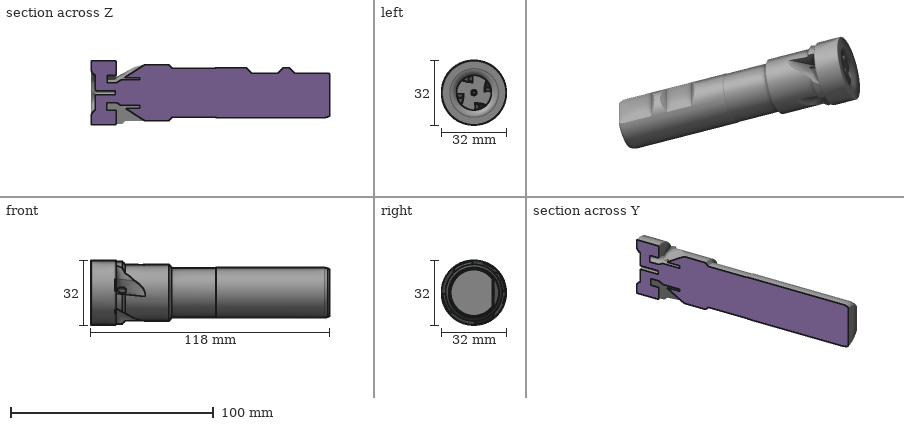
import cadquery as cq
import math

overall_length = 118.0
head_length = 12.6
collar_end = 15.4
body_start = 16.9
body_end = 38.5
neck_start = 40.0
shank_start = 61.6

head_radius = 16.0
collar_radius = 15.5
body_radius = 14.0
neck_radius = 12.3
shank_radius = 12.5
head_front_fillet = 0.4
head_back_fillet = 0.8
shank_lead_chamfer = 0.3

end_taper_start = 115.3
end_taper_end = 117.0
end_taper_radius = 12.1
end_face_radius = 11.4

lip_radius = 12.0
core_radius = 8.6
core_face = 2.0
pilot_radius = 0.9
pilot_countersink_radius = 1.4
pilot_depth = 10.0

flute_count = 4
flute_floor = 5.0
flute_climb = 0.63
flute_runout = 16.0
rake_height = 0.6
rake_slope = 0.1
gullet_radius = 14.0
gullet_height = 7.4
clearance_slope = 0.1
cutter_reach = 20.0

coolant_radius = 1.4
coolant_offset = 6.9
coolant_height = 1.3
coolant_start = 13.0
coolant_end = 24.0

flat_distance = 9.75
first_flat = (79.5, 92.2)
second_flat_start = 100.7
flat_end_chamfer = 0.7
flat_ramp = 1.0


def turned_body():
    """Core, collar, body, neck and shank as one revolved profile."""
    profile = [
        (core_face, 0),
        (core_face, core_radius),
        (head_length, core_radius),
        (head_length, collar_radius),
        (collar_end, collar_radius),
        (body_start, body_radius),
        (body_end, body_radius),
        (neck_start, neck_radius),
        (shank_start, neck_radius),
        (shank_start + shank_lead_chamfer, shank_radius),
        (end_taper_start, shank_radius),
        (end_taper_end, end_taper_radius),
        (overall_length, end_face_radius),
        (overall_length, 0),
    ]
    return cq.Workplane("XY").polyline(profile).close().revolve(360, (0, 0), (1, 0))


def head_ring():
    """Ring around the core, with a rounded lip leading down to the core face."""
    lip_width = lip_radius - core_radius
    lip_curvature = (core_face**2 + lip_width**2) / (2 * core_face)
    half_angle = math.atan2(lip_width, lip_curvature - core_face) / 2
    lip_middle = (
        lip_curvature * (1 - math.cos(half_angle)),
        lip_radius - lip_curvature * math.sin(half_angle),
    )
    ring = (
        cq.Workplane("XY")
        .moveTo(0, lip_radius)
        .lineTo(0, head_radius)
        .lineTo(head_length, head_radius)
        .lineTo(head_length, core_radius)
        .lineTo(core_face, core_radius)
        .threePointArc(lip_middle, (0, lip_radius))
        .close()
        .revolve(360, (0, 0), (1, 0))
    )
    front_rim = ring.edges("<X").edges(cq.selectors.RadiusNthSelector(-1))
    ring = front_rim.fillet(head_front_fillet)
    back_rim = ring.edges(">X").edges(cq.selectors.RadiusNthSelector(-1))
    return back_rim.fillet(head_back_fillet)


def flute_section(x, wall_height):
    """Closed YZ section of the flute on the -Y side, resting on the rake wall."""

    def gullet_point(rise):
        sag = gullet_radius - math.sqrt(gullet_radius**2 - rise**2)
        return cq.Vector(x, -flute_floor - sag, wall_height + rise)

    floor = gullet_point(0)
    middle = gullet_point(gullet_height / 2)
    edge = gullet_point(gullet_height)
    clearance_top = edge + cq.Vector(0, -clearance_slope * cutter_reach, cutter_reach)
    outer_top = cq.Vector(x, -cutter_reach, clearance_top.z)
    outer_bottom = cq.Vector(x, -cutter_reach, wall_height)
    gullet = cq.Edge.makeThreePointArc(floor, middle, edge)
    corners = [edge, clearance_top, outer_top, outer_bottom, floor]
    sides = [cq.Edge.makeLine(start, end) for start, end in zip(corners, corners[1:])]
    return cq.Wire.assembleEdges([gullet] + sides)


def flute_cutter():
    """Level channel inside the head, then a runout climbing to the body surface."""
    level_length = head_length - core_face
    level_run = cq.Vector(level_length, 0, -rake_slope * level_length)
    climbing_run = cq.Vector(flute_runout, -flute_climb * flute_runout, -rake_slope * flute_runout)
    front = flute_section(core_face, rake_height)
    rear = flute_section(head_length, rake_height + level_run.z)
    level = cq.Solid.extrudeLinear(front, [], level_run)
    climbing = cq.Solid.extrudeLinear(rear, [], climbing_run)
    return cq.Workplane(level).union(cq.Workplane(climbing))


def coolant_cutter():
    """Axial coolant hole behind the gullet on the -Y side."""
    return (
        cq.Workplane("YZ", origin=(coolant_start, -coolant_offset, coolant_height))
        .circle(coolant_radius)
        .extrude(coolant_end - coolant_start)
    )


def pilot_cutter():
    """Countersunk centre hole in the core face."""
    countersink = pilot_countersink_radius - pilot_radius
    profile = [
        (core_face, 0),
        (core_face, pilot_countersink_radius),
        (core_face + countersink, pilot_radius),
        (core_face + pilot_depth, pilot_radius),
        (core_face + pilot_depth, 0),
    ]
    return cq.Workplane("XY").polyline(profile).close().revolve(360, (0, 0), (1, 0))


def clamping_flat_cutters():
    """Flat with two sloping ends, and a flat running out through the shank end."""
    ramp_length = flat_ramp * (head_radius - flat_distance)
    first = [
        (first_flat[0] - ramp_length, head_radius),
        (first_flat[0], flat_distance),
        (first_flat[1], flat_distance),
        (first_flat[1] + ramp_length, head_radius),
    ]
    second = [
        (second_flat_start - ramp_length, head_radius),
        (second_flat_start, flat_distance),
        (overall_length - flat_end_chamfer, flat_distance),
        (overall_length, flat_distance - flat_end_chamfer),
        (overall_length, head_radius),
    ]
    return [
        cq.Workplane("XY").polyline(outline).close().extrude(head_radius, both=True)
        for outline in (first, second)
    ]


body = turned_body()
for index in range(flute_count):
    angle = index * 360 / flute_count
    for cutter in (flute_cutter(), coolant_cutter()):
        body = body.cut(cutter.rotate((0, 0, 0), (1, 0, 0), angle))
body = body.cut(pilot_cutter())
for cutter in clamping_flat_cutters():
    body = body.cut(cutter)

result = body.union(head_ring())